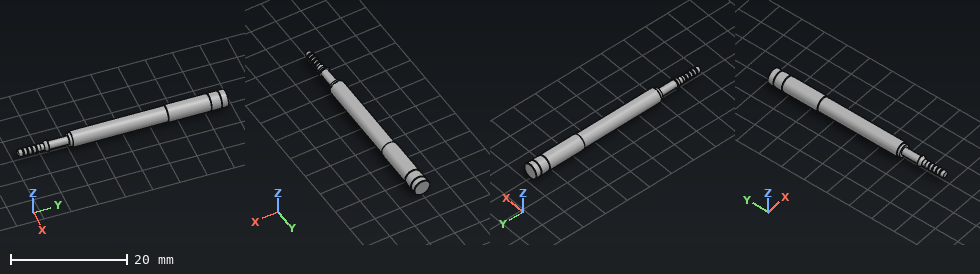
import math

import cadquery as cq

total_length = 38.2

sleeve_diameter = 3.2
sleeve_length = 11.1
edge_chamfer = 0.1
ring_groove_depth = 0.1
ring_groove_width = 0.1
ring_groove_positions = (1.2, 3.1)

barrel_diameter = 2.95
barrel_end = 28.5
collar_diameter = 2.5
collar_length = 0.55

plunger_diameter = 1.55
flange_diameter = 2.1
flange_front_diameter = 1.5
flange_start = 32.75
flange_rim_length = 0.1
flange_cone_length = 0.65

neck_diameter = 1.35
barb_count = 5
barb_pitch = 0.81
barb_length = 0.57
barb_diameter = 1.5
barb_half_angle = 12
barb_root_diameter = 1.15
tip_length = 0.76

back_y = total_length
sleeve_front_y = back_y - sleeve_length
barrel_front_y = back_y - barrel_end
collar_front_y = barrel_front_y - collar_length
flange_back_y = back_y - flange_start
flange_rim_y = flange_back_y - flange_rim_length
flange_front_y = flange_rim_y - flange_cone_length
first_barb_y = tip_length + (barb_count - 1) * barb_pitch


def cylinder(diameter, back, front):
    """Solid cylinder on the Y axis between two Y positions."""
    return cq.Workplane("XZ", origin=(0, back, 0)).circle(diameter / 2).extrude(back - front)


def cone(back_diameter, front_diameter, back, front):
    """Solid cone frustum on the Y axis between two Y positions."""
    profile = (
        cq.Workplane("XY")
        .moveTo(0, back)
        .lineTo(back_diameter / 2, back)
        .lineTo(front_diameter / 2, front)
        .lineTo(0, front)
        .close()
    )
    return profile.revolve(360, (0, 0), (0, 1))


def make_sleeve():
    """Outer sleeve with chamfered ends and ring grooves."""
    sleeve = cylinder(sleeve_diameter, back_y, sleeve_front_y)
    sleeve = sleeve.faces("<Y or >Y").chamfer(edge_chamfer)
    for position in ring_groove_positions:
        groove_back = back_y - position
        groove_front = groove_back - ring_groove_width
        ring = cylinder(sleeve_diameter, groove_back, groove_front)
        core = cylinder(sleeve_diameter - 2 * ring_groove_depth, groove_back, groove_front)
        sleeve = sleeve.cut(ring.cut(core))
    return sleeve


def make_barrel():
    """Barrel ahead of the sleeve and the smaller collar on its front face."""
    barrel = cylinder(barrel_diameter, sleeve_front_y, barrel_front_y)
    return barrel.union(cylinder(collar_diameter, barrel_front_y, collar_front_y))


def make_plunger():
    """Plunger rod, its conical flange and the neck behind the barbs."""
    rod = cylinder(plunger_diameter, collar_front_y, flange_back_y)
    rim = cylinder(flange_diameter, flange_back_y, flange_rim_y)
    flange_cone = cone(flange_diameter, flange_front_diameter, flange_rim_y, flange_front_y)
    neck = cylinder(neck_diameter, flange_front_y, first_barb_y)
    return rod.union(rim).union(flange_cone).union(neck)


def make_barb(back, front):
    """Barb with a sharp back rim, tapering towards the tip."""
    taper = 2 * (back - front) * math.tan(math.radians(barb_half_angle))
    return cone(barb_diameter, barb_diameter - taper, back, front)


def make_barbed_end():
    """Row of barbs on a thinner root, ending in the longer tip barb."""
    root = cylinder(barb_root_diameter, first_barb_y, tip_length)
    barbed_end = root.union(make_barb(tip_length, 0))
    for index in range(barb_count - 1):
        barb_back = first_barb_y - index * barb_pitch
        barbed_end = barbed_end.union(make_barb(barb_back, barb_back - barb_length))
    return barbed_end


result = make_sleeve().union(make_barrel()).union(make_plunger()).union(make_barbed_end())